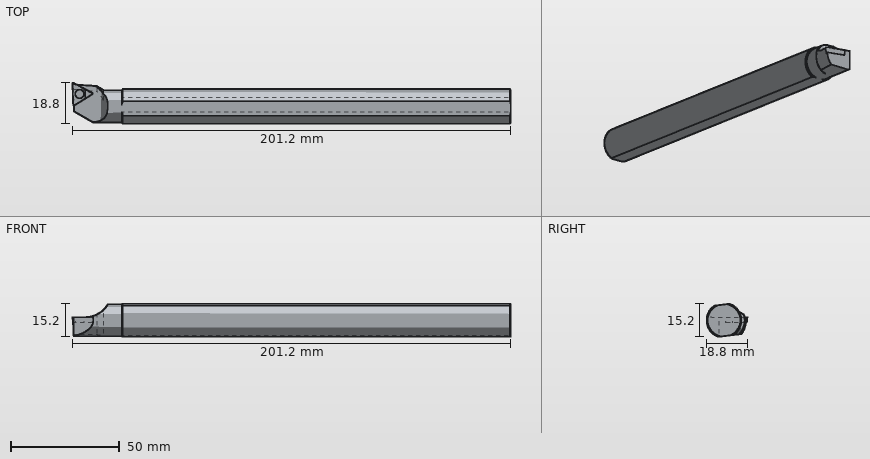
import cadquery as cq
import math


bar_end_x = 201.19
shank_radius = 8.0
end_chamfer = 0.5
neck_radius = 7.45
neck_end_x = 22.7
step_chamfer = shank_radius - neck_radius
flat_distance = 7.25
flat_tilt = 7.0

bulge_tip_radius = 10.2
bulge_back_radius = 9.45
bulge_back_x = 11.2
bulge_slope = 33.0

end_face_x = 0.75
end_face_y = -2.3
relief_angle = 30.0
lead_angle = 2.0
seat_top_z = 1.5
scoop_start_x = 6.0
scoop_radius = 12.0

inscribed_radius = 3.175
nose_radius = 0.4
insert_thickness = 2.38
insert_clearance = 7.0
stud_diameter = 4.0
nose_reach_y = 10.81

corner_distance = 2 * inscribed_radius
nose_centre_distance = 2 * (inscribed_radius - nose_radius)
cutting_nose_angle = math.radians(120 + lead_angle)
insert_x = nose_radius - nose_centre_distance * math.cos(cutting_nose_angle)
insert_y = nose_reach_y - nose_radius - nose_centre_distance * math.sin(cutting_nose_angle)

clear = 40.0


def turned_body(profile):
    """Revolve (x, radius) points, closed along the bar axis, about X."""
    below_axis = [(x, -radius) for x, radius in profile]
    return cq.Workplane("XZ").polyline(below_axis).close().revolve(360, (0, 0, 0), (1, 0, 0))


def make_blank():
    """Shank and neck, with the bulge on the +Y half of the cutting end."""
    shank = turned_body([
        (0, 0),
        (0, neck_radius),
        (neck_end_x, neck_radius),
        (neck_end_x + step_chamfer, shank_radius),
        (bar_end_x - end_chamfer, shank_radius),
        (bar_end_x, shank_radius - end_chamfer),
        (bar_end_x, 0),
    ])
    slope_length = (bulge_back_radius - neck_radius) / math.tan(math.radians(bulge_slope))
    bulge = turned_body([
        (0, 0),
        (0, bulge_tip_radius),
        (bulge_back_x, bulge_back_radius),
        (bulge_back_x + slope_length, neck_radius),
        (bulge_back_x + slope_length, 0),
    ])
    plus_y_half = cq.Workplane("XY").box(clear, clear, clear, centered=(True, False, True))
    return shank.union(bulge.intersect(plus_y_half))


def between_flats():
    """Slab whose top and bottom are the two clamping flats."""
    slab = cq.Workplane("XY").box(bar_end_x, clear, 2 * flat_distance, centered=(False, True, True))
    return slab.rotate((0, 0, 0), (1, 0, 0), flat_tilt)


def end_outline():
    """Plan region kept by the end face and the relief facet."""
    half = clear / 2
    face_top_x = end_face_x - (half - end_face_y) * math.tan(math.radians(lead_angle))
    facet_bottom_x = end_face_x + (half + end_face_y) / math.tan(math.radians(relief_angle))
    outline = [
        (end_face_x, end_face_y),
        (face_top_x, half),
        (bar_end_x, half),
        (bar_end_x, -half),
        (facet_bottom_x, -half),
    ]
    return cq.Workplane("XY").polyline(outline).close().extrude(clear / 2, both=True)


def chip_scoop():
    """Space above the insert: flat at the insert top, then rising as an arc along X."""
    arc_end = (scoop_start_x + scoop_radius, seat_top_z + scoop_radius)
    mid_arc = math.radians(45)
    arc_middle = (
        scoop_start_x + scoop_radius * math.sin(mid_arc),
        seat_top_z + scoop_radius * (1 - math.cos(mid_arc)),
    )
    return (
        cq.Workplane("XZ")
        .moveTo(-clear, seat_top_z)
        .lineTo(scoop_start_x, seat_top_z)
        .threePointArc(arc_middle, arc_end)
        .lineTo(-clear, arc_end[1])
        .close()
        .extrude(clear / 2, both=True)
    )


def make_insert_body():
    """Triangular insert without its hole, narrowing downwards by the clearance angle."""
    corners = []
    for turn in (0, 120, 240):
        angle = math.radians(turn + lead_angle)
        corners.append((corner_distance * math.cos(angle), corner_distance * math.sin(angle)))
    outline = cq.Sketch().polygon([*corners, corners[0]]).vertices().fillet(nose_radius)
    return (
        cq.Workplane("XY")
        .placeSketch(outline)
        .extrude(-insert_thickness, taper=insert_clearance)
        .translate((insert_x, insert_y, seat_top_z))
    )


insert_body = make_insert_body()
stud = (
    cq.Workplane("XY")
    .circle(stud_diameter / 2)
    .extrude(-insert_thickness)
    .translate((insert_x, insert_y, seat_top_z))
)
insert = insert_body.cut(stud)

bar = make_blank().intersect(between_flats()).intersect(end_outline()).cut(chip_scoop()).cut(insert)

result = cq.Compound.makeCompound([bar.val(), insert.val()])